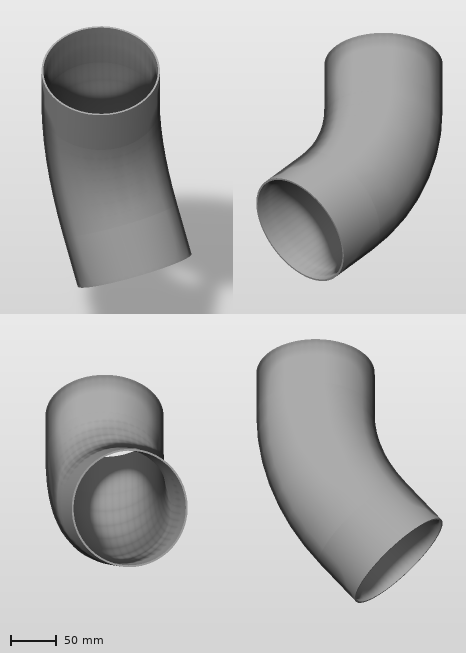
import cadquery as cq
import math

outer_diameter = 129.0
inner_diameter = 125.0
upper_collar_length = 57.3
lower_collar_length = 58.2
bend_radius = 187.7
bend_angle = 44.5


def point_on_bend(angle_degrees):
    """Centreline point (x, z) after turning by an angle from vertical."""
    angle = math.radians(angle_degrees)
    x = bend_radius * (1 - math.cos(angle))
    z = -upper_collar_length - bend_radius * math.sin(angle)
    return x, z


bend_end = point_on_bend(bend_angle)
lower_rim_centre = (
    bend_end[0] + lower_collar_length * math.sin(math.radians(bend_angle)),
    bend_end[1] - lower_collar_length * math.cos(math.radians(bend_angle)),
)
centreline = (
    cq.Workplane("XZ")
    .lineTo(0, -upper_collar_length)
    .threePointArc(point_on_bend(bend_angle / 2), bend_end)
    .lineTo(*lower_rim_centre)
)

result = (
    cq.Workplane("XY")
    .circle(outer_diameter / 2)
    .circle(inner_diameter / 2)
    .sweep(centreline)
)